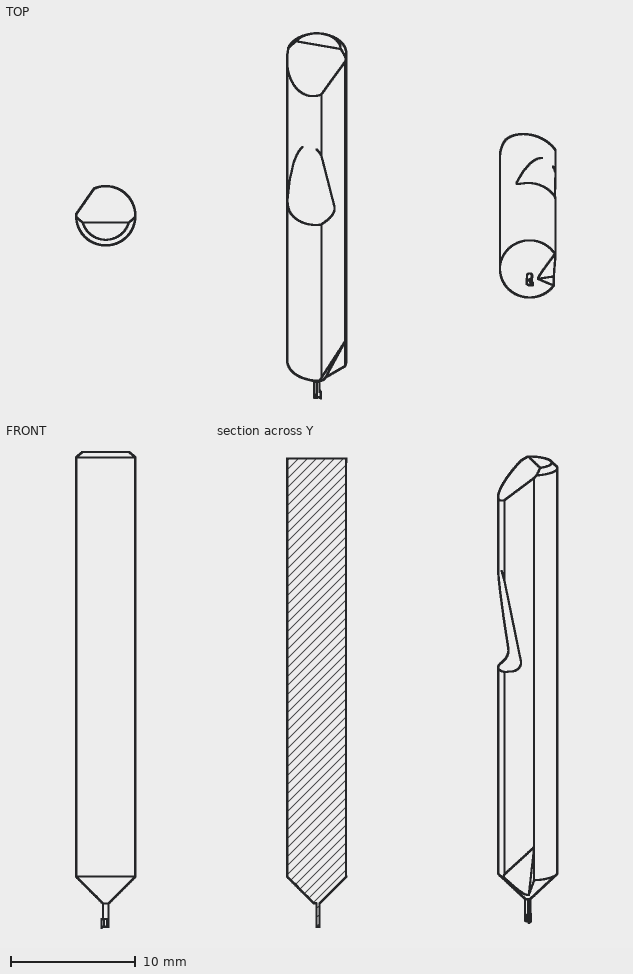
import math
import cadquery as cq

LENGTH = 38.1
SHANK_RADIUS = 2.38
TOP_CHAMFER = 0.45

NECK_RADIUS = 0.23
NECK_START = 0.08
CONE_START = 1.95
SHOULDER = CONE_START + SHANK_RADIUS - NECK_RADIUS

TOOTH_REACH = 0.35
TOOTH_BACK = 0.1
TOOTH_HEIGHT = 0.7
TOOTH_CORNER_X = -0.15
RAKE_FLOOR_DEPTH = 0.05
TOOTH_CLEARANCE_WIDTH = 0.1

FLAT_DISTANCE = 2.02
FLAT_ANGLE = 145.0

RELIEF_WALL_Y = 0.1
RELIEF_POINT = (-0.75, RELIEF_WALL_Y, 2.5)
RELIEF_ANGLE = 166.0
RELIEF_TILT = 20.0

NOTCH_TOP = 29.8
NOTCH_BOTTOM = 21.1
NOTCH_TILT = 10.0
NOTCH_FILLET = 0.85
BEVEL_EDGE_Y = -0.55

CUT_SIZE = 2 * LENGTH


def polar(angle):
    """Horizontal unit vector at an angle in degrees from +X."""
    return cq.Vector(math.cos(math.radians(angle)), math.sin(math.radians(angle)), 0)


def outside_of(point, normal):
    """Large block filling the side of a plane that its normal points to."""
    return cq.Workplane(cq.Plane(point, normal=normal)).rect(CUT_SIZE, CUT_SIZE).extrude(CUT_SIZE)


def make_body():
    """Shank, cone and neck as one turned profile."""
    return (
        cq.Workplane("XZ")
        .moveTo(0, NECK_START)
        .lineTo(NECK_RADIUS, NECK_START)
        .lineTo(NECK_RADIUS, CONE_START)
        .lineTo(SHANK_RADIUS, SHOULDER)
        .lineTo(SHANK_RADIUS, LENGTH - TOP_CHAMFER)
        .lineTo(SHANK_RADIUS - TOP_CHAMFER, LENGTH)
        .lineTo(0, LENGTH)
        .close()
        .revolve(360, (0, 0), (0, 1))
    )


def make_tooth():
    """Tooth with a bevelled front corner, its lower edge rising from the cutting point at -X."""
    blank = (
        cq.Workplane("XY")
        .moveTo(-TOOTH_REACH, 0)
        .lineTo(TOOTH_CORNER_X, -NECK_RADIUS)
        .lineTo(TOOTH_BACK, -NECK_RADIUS)
        .lineTo(TOOTH_BACK, 0)
        .close()
        .extrude(TOOTH_HEIGHT)
    )
    clearance = (
        cq.Workplane("XZ")
        .moveTo(-TOOTH_REACH, 0)
        .lineTo(TOOTH_CLEARANCE_WIDTH - TOOTH_REACH, NECK_START)
        .lineTo(TOOTH_BACK, NECK_START)
        .lineTo(TOOTH_BACK, 0)
        .close()
        .extrude(NECK_RADIUS)
    )
    return blank.cut(clearance)


def make_rake_cut():
    """Chip space along the neck, leaving the tooth's rake face clear at y = 0."""
    return cq.Workplane("XY").box(
        NECK_RADIUS, NECK_RADIUS, CONE_START, centered=False
    ).translate((-NECK_RADIUS - RAKE_FLOOR_DEPTH, 0, 0))


def make_flat_cut():
    normal = polar(FLAT_ANGLE)
    return outside_of(normal * FLAT_DISTANCE, normal)


def make_relief_cut():
    """Region outside the tilted relief plane and behind the upright wall."""
    tilt = math.radians(RELIEF_TILT)
    normal = polar(RELIEF_ANGLE) * math.cos(tilt) - cq.Vector(0, 0, math.sin(tilt))
    behind_wall = outside_of((0, RELIEF_WALL_Y, 0), (0, 1, 0))
    return outside_of(RELIEF_POINT, normal).intersect(behind_wall)


def make_notch_cut():
    """Right-angled notch with a rounded root, tilted so its floor deepens downward."""
    tilt = math.radians(NOTCH_TILT)
    floor_length = (NOTCH_TOP - NOTCH_BOTTOM) * math.cos(tilt)
    root_y = SHANK_RADIUS - floor_length * math.sin(tilt)
    root_z = NOTCH_TOP - floor_length * math.cos(tilt)
    return (
        cq.Workplane("YZ")
        .moveTo(SHANK_RADIUS, NOTCH_TOP)
        .lineTo(root_y, root_z)
        .lineTo(SHANK_RADIUS, NOTCH_BOTTOM)
        .close()
        .extrude(SHANK_RADIUS, both=True)
        .edges(cq.selectors.NearestToPointSelector((0, root_y, root_z)))
        .fillet(NOTCH_FILLET)
    )


def make_bevel_cut():
    """45 degree bevel facing back and up."""
    return outside_of((0, BEVEL_EDGE_Y, LENGTH), (0, 1, 1))


result = (
    make_body()
    .cut(make_flat_cut())
    .cut(make_relief_cut())
    .cut(make_notch_cut())
    .cut(make_bevel_cut())
    .cut(make_rake_cut())
    .union(make_tooth())
)